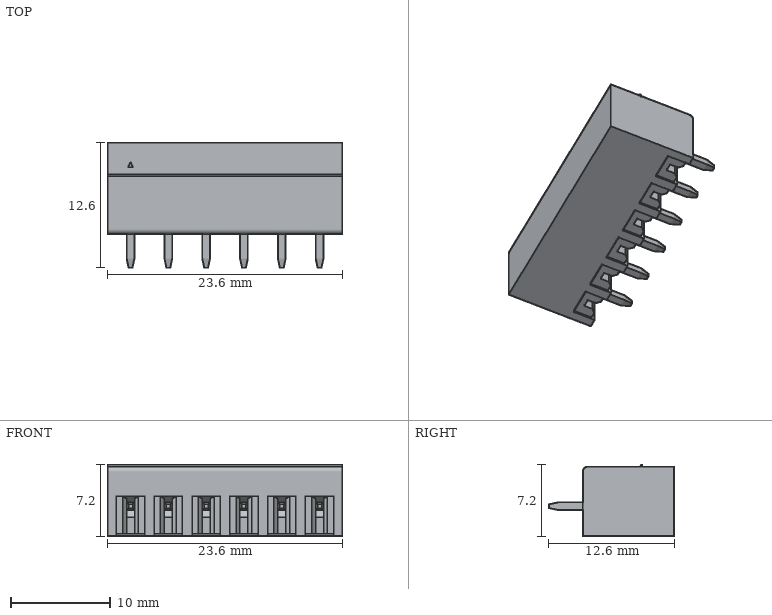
import cadquery as cq
import math


overall_height = 7.2

ridge_height = 0.2
ridge_from_back = 3.2

length = 23.65
depth = 9.2
height = overall_height - ridge_height
front_edge_radius = 0.5

pin_count = 6
pin_pitch = 3.8
pin_size = 0.8
pin_center_z = 3.0
pin_straight = 2.45
pin_taper = 0.95
pin_tip_size = pin_size / 2
pin_top_z = pin_center_z + pin_size / 2
pin_bottom_z = pin_center_z - pin_size / 2

recess_width = 2.84
recess_height = 4.0
recess_depth = 0.35
foot_gap = 0.21
foot_depth = 2.36

groove_mouth_width = 1.58
groove_narrowing_depth = (groove_mouth_width - pin_size) / 2
groove_back = 1.65
roof_depth = 1.02
ledge_z = 1.87

mark_size = 0.5
mark_from_back = 2.45
mark_depth = 0.1

pin_positions = [(i - (pin_count - 1) / 2) * pin_pitch for i in range(pin_count)]


def make_housing():
    block = cq.Workplane("XY").box(length, depth, height, centered=(True, False, False))
    return block.edges("<Y and >Z").fillet(front_edge_radius)


def make_ridge():
    back_y = depth - ridge_from_back
    half_arc = ridge_height * math.sqrt(0.5)
    return (
        cq.Workplane("YZ")
        .moveTo(back_y, height)
        .lineTo(back_y, height + ridge_height)
        .threePointArc((back_y - half_arc, height + half_arc), (back_y - ridge_height, height))
        .close()
        .extrude(length / 2, both=True)
    )


def make_recess(x):
    """Space removed around one pin."""
    shallow = (
        cq.Workplane("XY")
        .box(recess_width, recess_depth, recess_height, centered=(True, False, False))
    )
    foot = (
        cq.Workplane("XY")
        .box(recess_width, foot_depth, foot_gap, centered=(True, False, False))
    )
    return shallow.union(foot).union(make_groove()).translate((x, 0, 0))


def make_groove():
    """Groove narrowing towards the back, with a roof and a floor sloping to the pin."""
    narrow_y = recess_depth + groove_narrowing_depth
    plan = [
        (-groove_mouth_width / 2, recess_depth),
        (-pin_size / 2, narrow_y),
        (-pin_size / 2, depth),
        (pin_size / 2, depth),
        (pin_size / 2, narrow_y),
        (groove_mouth_width / 2, recess_depth),
    ]
    slope_end = groove_back + pin_bottom_z - ledge_z
    profile = [
        (recess_depth, 0),
        (recess_depth, recess_height),
        (recess_depth + roof_depth, pin_top_z),
        (slope_end, pin_top_z),
        (slope_end, pin_bottom_z),
        (groove_back, ledge_z),
        (groove_back, 0),
    ]
    prism = cq.Workplane("XY").polyline(plan).close().extrude(recess_height)
    side = cq.Workplane("YZ").polyline(profile).close().extrude(recess_width / 2, both=True)
    return prism.intersect(side)


def make_pin(x):
    """Square pin ending in a tapered tip, rooted halfway into the housing."""
    pin_root_y = depth / 2
    shank = (
        cq.Workplane("XZ", origin=(x, pin_root_y, pin_center_z))
        .rect(pin_size, pin_size)
        .extrude(pin_root_y + pin_straight)
    )
    tip = (
        cq.Workplane("XZ", origin=(x, -pin_straight, pin_center_z))
        .rect(pin_size, pin_size)
        .workplane(offset=pin_taper)
        .rect(pin_tip_size, pin_tip_size)
        .loft()
    )
    return shank.union(tip)


def make_pin_mark():
    """Triangular pocket in line with the first pin, pointing to the back."""
    base_y = depth - mark_from_back
    outline = [
        (pin_positions[0] - mark_size / 2, base_y),
        (pin_positions[0] + mark_size / 2, base_y),
        (pin_positions[0], base_y + mark_size),
    ]
    return (
        cq.Workplane("XY", origin=(0, 0, height))
        .polyline(outline)
        .close()
        .extrude(-mark_depth)
    )


result = make_housing().union(make_ridge()).cut(make_pin_mark())
for position in pin_positions:
    result = result.cut(make_recess(position)).union(make_pin(position))